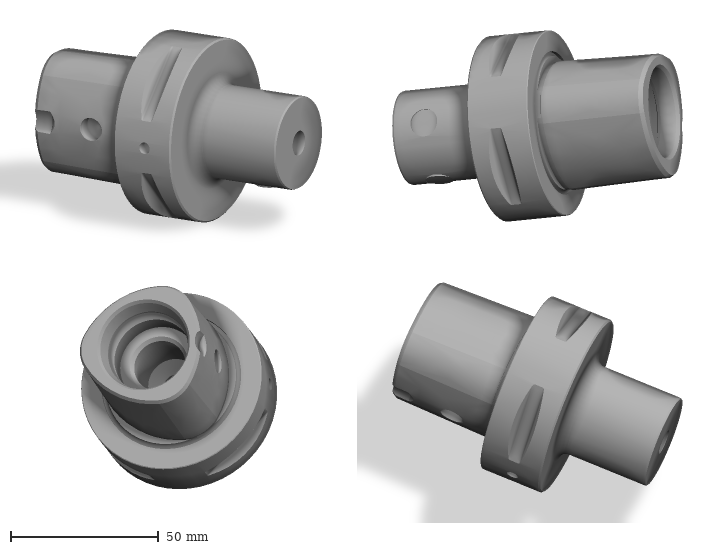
import cadquery as cq
import math

total_length = 92.0

lobe_count = 3
lobe_centre_radius = 10.4
taper_end = 35.8
taper_mean_radius = 22.0
taper_slope = 1 / 40
nose_length = 1.4
nose_chamfer = 0.8
relief_depth = 0.3
relief_radius = 22.7
relief_lead = 0.55

collar_start = 37.6
flange_start = 38.0
flange_end = 59.9
flange_radius = 31.51
face_groove_outer_radius = 24.4
front_edge_chamfer = 0.3
rear_edge_chamfer = 0.55
shank_radius = 16.0
shank_fillet = 3.8
shank_chamfer_length = 0.6
shank_chamfer_depth = 0.3

mouth_radius = 16.2
mouth_chamfer_end = 1.2
mouth_cone_radius = 15.4
mouth_cone_end = 6.3
land_radius = 14.0
land_end = 7.2
bore_groove_start = 8.1
bore_groove_end = 10.2
bore_groove_radius = 16.2
bore_groove_fillet = 1.6
bore_radius = 13.5
bore_groove_exit = 13.3
bore_floor = 21.2
socket_mouth_radius = 10.1
socket_radius = 8.9
socket_end = 41.4
through_radius = 4.28

tip_half_angle = math.radians(59)
notch_radius = 5.5
notch_offset = 23.5
notch_depth = 6.35
notch_tip_half_angle = math.radians(45)
side_hole_x = 22.45
side_hole_radius = 4.05
side_hole_depth = 4.9
side_hole_countersink = 0.2
flange_hole_radius = 2.0
flange_hole_depth = 3.7

slot_count = 4
slot_x = 49.9
slot_floor_distance = 27.8
slot_floor_width = 3.9
slot_flank_angle = math.radians(28)
slot_corner_fillet = 0.7

screw_x = 80.6
screw_radius = 4.8
screw_bottom = 5.5
screw_places = [(-90, 15.9), (0, 15.1)]


def taper_radius(x):
    """Mean radius of the polygon taper at X = x."""
    return taper_mean_radius - taper_slope * (taper_end - x)


def polygon_wire(x, mean_radius):
    """Closed polygon outline in the plane X = x."""
    centre_spacing = lobe_centre_radius * math.sqrt(3)
    lobe_radius = mean_radius - centre_spacing / 2
    side_radius = mean_radius + centre_spacing / 2
    half_span = math.pi / (2 * lobe_count)

    def arc_point(centre_angle, radius, normal_angle):
        y = lobe_centre_radius * math.cos(centre_angle) + radius * math.cos(normal_angle)
        z = lobe_centre_radius * math.sin(centre_angle) + radius * math.sin(normal_angle)
        return y, z

    outline = cq.Workplane("YZ", origin=(x, 0, 0)).moveTo(*arc_point(0, lobe_radius, -half_span))
    for i in range(lobe_count):
        lobe = i * 2 * math.pi / lobe_count
        side = lobe + math.pi / lobe_count
        opposite_lobe = side + math.pi
        outline = outline.threePointArc(
            arc_point(lobe, lobe_radius, lobe), arc_point(lobe, lobe_radius, lobe + half_span)
        )
        outline = outline.threePointArc(
            arc_point(opposite_lobe, side_radius, side),
            arc_point(opposite_lobe, side_radius, side + half_span),
        )
    return outline.close().val()


def polygon_frustum(x_start, radius_start, x_end, radius_end):
    """Solid between two polygon outlines of given mean radii."""
    wires = [polygon_wire(x_start, radius_start), polygon_wire(x_end, radius_end)]
    return cq.Workplane(cq.Solid.makeLoft(wires, True))


def revolve_about_x(profile):
    """Revolve a closed profile, drawn in XY as (X, radius), about the X axis."""
    return profile.close().revolve(360, (0, 0, 0), (1, 0, 0))


def make_taper():
    """Polygon taper with its chamfered nose and the relief behind it."""
    nose_radius = taper_radius(nose_length)
    nose = polygon_frustum(0, nose_radius - nose_chamfer, nose_length, nose_radius)
    taper = polygon_frustum(nose_length, nose_radius, taper_end, taper_mean_radius)
    neck_radius = taper_mean_radius - relief_depth
    neck = polygon_frustum(taper_end, neck_radius, flange_start, neck_radius)
    neck_limit = revolve_about_x(
        cq.Workplane("XY")
        .moveTo(taper_end, 0)
        .lineTo(taper_end, relief_radius + relief_lead)
        .lineTo(taper_end + relief_lead, relief_radius)
        .lineTo(flange_start, relief_radius)
        .lineTo(flange_start, 0)
    )
    return nose.union(taper).union(neck.intersect(neck_limit))


def make_flange_and_shank():
    """Collar, flange and shank as one turned shape, with a round-bottomed groove around the collar."""
    fillet_centre_x = flange_end + shank_fillet
    fillet_centre_radius = shank_radius + shank_fillet
    fillet_leg = shank_fillet * math.cos(math.pi / 4)
    face_groove_radius = face_groove_outer_radius - relief_radius
    groove_leg = face_groove_radius * math.cos(math.pi / 4)
    return revolve_about_x(
        cq.Workplane("XY")
        .moveTo(collar_start, 0)
        .lineTo(collar_start, relief_radius)
        .threePointArc(
            (collar_start + groove_leg, face_groove_outer_radius - groove_leg),
            (collar_start + face_groove_radius, face_groove_outer_radius),
        )
        .lineTo(flange_start, face_groove_outer_radius)
        .lineTo(flange_start, flange_radius - front_edge_chamfer)
        .lineTo(flange_start + front_edge_chamfer, flange_radius)
        .lineTo(flange_end - rear_edge_chamfer, flange_radius)
        .lineTo(flange_end, flange_radius - rear_edge_chamfer)
        .lineTo(flange_end, fillet_centre_radius)
        .threePointArc(
            (fillet_centre_x - fillet_leg, fillet_centre_radius - fillet_leg),
            (fillet_centre_x, shank_radius),
        )
        .lineTo(total_length - shank_chamfer_length, shank_radius)
        .lineTo(total_length, shank_radius - shank_chamfer_depth)
        .lineTo(total_length, 0)
    )


def make_bore():
    """Stepped bore, running through the whole length."""
    fillet_leg = bore_groove_fillet * math.sin(math.pi / 4)
    fillet_drop = bore_groove_fillet - fillet_leg
    mid_leg = bore_groove_fillet * math.sin(math.pi / 8)
    mid_drop = bore_groove_fillet * (1 - math.cos(math.pi / 8))
    socket_chamfer = socket_mouth_radius - socket_radius
    socket_tip = (socket_radius - through_radius) / math.tan(tip_half_angle)
    return revolve_about_x(
        cq.Workplane("XY")
        .lineTo(0, mouth_radius)
        .lineTo(mouth_chamfer_end, mouth_cone_radius)
        .lineTo(mouth_cone_end, land_radius)
        .lineTo(land_end, land_radius)
        .lineTo(bore_groove_start, bore_groove_radius)
        .lineTo(bore_groove_end, bore_groove_radius)
        .threePointArc(
            (bore_groove_end + mid_leg, bore_groove_radius - mid_drop),
            (bore_groove_end + fillet_leg, bore_groove_radius - fillet_drop),
        )
        .lineTo(bore_groove_exit, bore_radius)
        .lineTo(bore_floor, bore_radius)
        .lineTo(bore_floor, socket_mouth_radius)
        .lineTo(bore_floor + socket_chamfer, socket_radius)
        .lineTo(socket_end, socket_radius)
        .lineTo(socket_end + socket_tip, through_radius)
        .lineTo(total_length, through_radius)
        .lineTo(total_length, 0)
    )


def drill_along_x(radius, depth, half_angle=tip_half_angle):
    """Drill along the X axis from X = 0, with a conical tip beyond the given depth."""
    tip_length = radius / math.tan(half_angle)
    return revolve_about_x(
        cq.Workplane("XY").lineTo(0, radius).lineTo(depth, radius).lineTo(depth + tip_length, 0)
    )


def drill_from_front(x, surface_distance, radius, depth):
    """Drill along +Y that reaches the given depth below the surface facing -Y."""
    clearance = flange_radius - surface_distance + radius
    drill = drill_along_x(radius, clearance + depth)
    turned = drill.rotate((0, 0, 0), (0, 0, 1), 90)
    return turned.translate((x, -surface_distance - clearance, 0))


def make_side_hole():
    """Blind hole in the polygon side facing -Y, with a shallow countersink."""
    flat_distance = taper_radius(side_hole_x) - lobe_centre_radius * (1 - math.sqrt(3) / 2)
    hole = drill_from_front(side_hole_x, flat_distance, side_hole_radius, side_hole_depth)
    countersink_tip = side_hole_radius / math.tan(tip_half_angle) + side_hole_countersink
    cone_length = 2 * countersink_tip
    countersink = cq.Solid.makeCone(
        0,
        cone_length * math.tan(tip_half_angle),
        cone_length,
        cq.Vector(side_hole_x, countersink_tip - flat_distance, 0),
        cq.Vector(0, -1, 0),
    )
    return hole.union(cq.Workplane(countersink))


def make_gripper_slots():
    """Flared slots, evenly spaced between the Y and Z axes."""
    half_floor = slot_floor_width / 2
    height = flange_radius - slot_floor_distance + 0.9
    half_mouth = half_floor + height * math.tan(slot_flank_angle)
    slot = (
        cq.Workplane("XZ", origin=(slot_x, 0, slot_floor_distance))
        .moveTo(-half_floor, 0)
        .lineTo(half_floor, 0)
        .lineTo(half_mouth, height)
        .lineTo(-half_mouth, height)
        .close()
        .extrude(flange_radius, both=True)
        .edges("|Y and <Z")
        .fillet(slot_corner_fillet)
    )
    slots = cq.Workplane()
    for i in range(slot_count):
        angle = (i + 0.5) * 360 / slot_count
        slots = slots.add(slot.rotate((0, 0, 0), (1, 0, 0), angle))
    return slots.combine()


def radial_cylinder(angle, inner, outer):
    """Screw-sized cylinder pointing away from the X axis at the given angle."""
    cylinder = cq.Workplane("XZ", origin=(screw_x, inner, 0)).circle(screw_radius).extrude(inner - outer)
    return cylinder.rotate((0, 0, 0), (1, 0, 0), angle)


def make_holder():
    """Tool holder: polygon taper, flange and shank in one piece."""
    holder = make_taper().union(make_flange_and_shank()).cut(make_bore())
    notch = drill_along_x(notch_radius, notch_depth, notch_tip_half_angle)
    holder = holder.cut(notch.translate((0, -notch_offset, 0)))
    holder = holder.cut(make_side_hole())
    holder = holder.cut(drill_from_front(slot_x, flange_radius, flange_hole_radius, flange_hole_depth))
    holder = holder.cut(make_gripper_slots())
    for angle, _ in screw_places:
        holder = holder.cut(radial_cylinder(angle, screw_bottom, shank_radius + 0.9))
    return holder


def make_clamping_screw(angle, outer_end):
    """Plain set screw filling its hole from the bottom up to its outer end."""
    return radial_cylinder(angle, screw_bottom, outer_end)


holder = make_holder()
clamping_screws = [make_clamping_screw(angle, outer_end) for angle, outer_end in screw_places]

result = cq.Compound.makeCompound([holder.val(), *[screw.val() for screw in clamping_screws]])